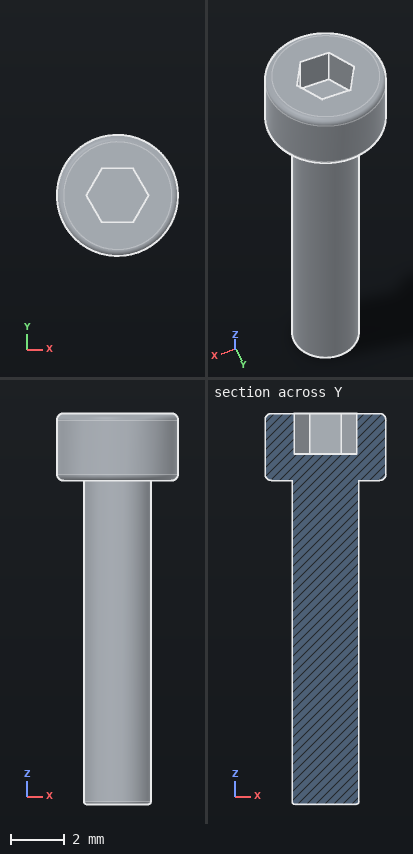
import cadquery as cq
import math

head_diameter = 4.5
head_height = 2.5
head_edge_radius = 0.25
shank_diameter = 2.5
shank_length = 12.0
tip_edge_radius = 0.125
socket_across_flats = 2.0
socket_depth = 1.5

socket_across_corners = socket_across_flats / math.cos(math.radians(30))


def make_head():
    """Cylindrical head with both rims rounded."""
    head = cq.Workplane("XY").circle(head_diameter / 2).extrude(head_height)
    return head.faces("<Z or >Z").edges().fillet(head_edge_radius)


def make_shank():
    """Plain shank below the head, with a rounded tip rim."""
    shank = cq.Workplane("XY").circle(shank_diameter / 2).extrude(-shank_length)
    return shank.faces("<Z").edges().fillet(tip_edge_radius)


def make_socket():
    """Hexagonal drive recess with two corners on the X axis."""
    top = cq.Workplane("XY").workplane(offset=head_height)
    return top.polygon(6, socket_across_corners).extrude(-socket_depth)


result = make_head().union(make_shank()).cut(make_socket())